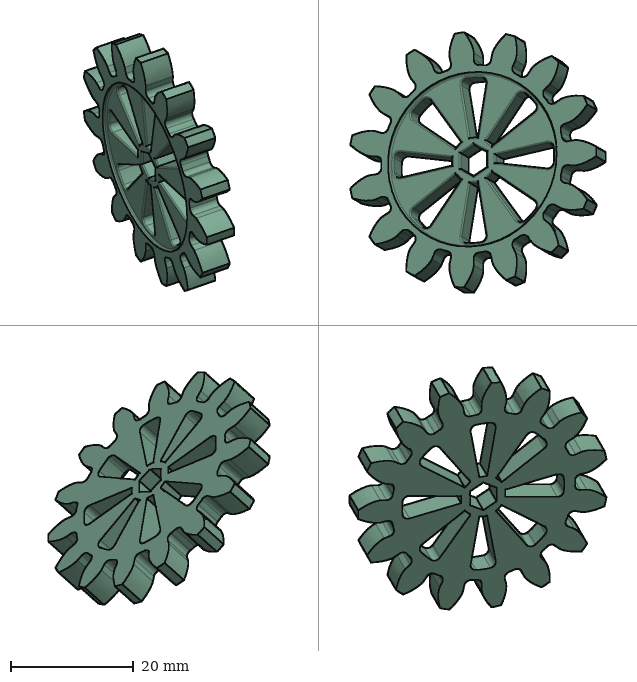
import cadquery as cq
import math

TOOTH_COUNT = 15
MODULE = 2.5
PRESSURE_ANGLE = math.radians(20)
FACE_WIDTH = 5.08

PITCH_RADIUS = MODULE * TOOTH_COUNT / 2
BASE_RADIUS = PITCH_RADIUS * math.cos(PRESSURE_ANGLE)
TIP_RADIUS = PITCH_RADIUS + MODULE
DEDENDUM = 1.25 * MODULE
ROOT_RADIUS = PITCH_RADIUS - DEDENDUM
ROOT_FILLET = 0.38 * MODULE
FLANK_STEPS = 6

BASE_HALF_ANGLE = math.pi / (2 * TOOTH_COUNT) + math.tan(PRESSURE_ANGLE) - PRESSURE_ANGLE
FILLET_CENTER_RADIUS = ROOT_RADIUS + ROOT_FILLET
FILLET_SPAN = math.asin(ROOT_FILLET / FILLET_CENTER_RADIUS)
FILLET_HALF_ANGLE = BASE_HALF_ANGLE + FILLET_SPAN
FILLET_END_RADIUS = FILLET_CENTER_RADIUS * math.cos(FILLET_SPAN)

EDGE_RADIUS = 0.254
RECESS_DIAMETER = 28.96
RECESS_DEPTH = 0.635
HEX_ACROSS_FLATS = 4.5
HEX_TURN = 30

WINDOW_COUNT = 8
WINDOW_INNER_DISTANCE = 3.76
WINDOW_RIM_GAP = 0.73
WINDOW_OUTER_RADIUS = RECESS_DIAMETER / 2 - WINDOW_RIM_GAP
WINDOW_INNER_HALF_WIDTH = 0.67
WINDOW_SIDE_ANGLE = math.radians(9.4)
WINDOW_CORNER_RADIUS = 1.0

FRONT_Y = -FACE_WIDTH / 2
WEB_Y = FRONT_Y + RECESS_DEPTH
BACK_Y = FACE_WIDTH / 2

LEVEL_TOLERANCE = 0.01


def polar(radius, angle):
    return (radius * math.cos(angle), radius * math.sin(angle))


def involute(angle):
    """Polar angle an involute has turned through at the given pressure angle."""
    return math.tan(angle) - angle


def plane_at(y):
    """Workplane facing -Y, with local x along X and local y along Z."""
    return cq.Workplane("XZ", origin=(0, y, 0))


def turned(shape, degrees):
    """Copy of a shape turned about the gear axis."""
    return shape.rotate((0, 0, 0), (0, 1, 0), degrees)


def tooth_half_angle(radius):
    """Half of the angle a tooth spans at a radius on its involute flank."""
    return BASE_HALF_ANGLE - involute(math.acos(BASE_RADIUS / radius))


def add_tooth(outline, center):
    """Continue the outline, counterclockwise, over one tooth and the root gap after it."""
    radial_step = (TIP_RADIUS - BASE_RADIUS) / FLANK_STEPS
    flank_radii = [BASE_RADIUS + radial_step * i for i in range(FLANK_STEPS + 1)]

    def fillet_middle(side):
        """Middle of the root fillet arc on one side of the tooth."""
        fillet_x, fillet_y = polar(FILLET_CENTER_RADIUS, center + side * FILLET_HALF_ANGLE)
        toward_line = center + side * (BASE_HALF_ANGLE - math.pi / 2)
        toward_root = center + side * (FILLET_HALF_ANGLE - math.pi)
        offset_x, offset_y = polar(ROOT_FILLET, (toward_line + toward_root) / 2)
        return (fillet_x + offset_x, fillet_y + offset_y)

    def flank(side):
        """Points up one involute flank, from the base circle to the tip."""
        return [polar(r, center + side * tooth_half_angle(r)) for r in flank_radii]

    rising_flank = flank(-1)
    falling_flank = flank(1)[::-1]
    half_pitch = math.pi / TOOTH_COUNT
    return (
        outline
        .threePointArc(fillet_middle(-1), polar(FILLET_END_RADIUS, center - BASE_HALF_ANGLE))
        .lineTo(*rising_flank[0])
        .spline(rising_flank[1:], includeCurrent=True)
        .threePointArc(polar(TIP_RADIUS, center), falling_flank[0])
        .spline(falling_flank[1:], includeCurrent=True)
        .lineTo(*polar(FILLET_END_RADIUS, center + BASE_HALF_ANGLE))
        .threePointArc(fillet_middle(1), polar(ROOT_RADIUS, center + FILLET_HALF_ANGLE))
        .threePointArc(
            polar(ROOT_RADIUS, center + half_pitch),
            polar(ROOT_RADIUS, center + 2 * half_pitch - FILLET_HALF_ANGLE),
        )
    )


def gear_blank():
    outline = plane_at(BACK_Y).moveTo(*polar(ROOT_RADIUS, -FILLET_HALF_ANGLE))
    for i in range(TOOTH_COUNT):
        outline = add_tooth(outline, 2 * math.pi * i / TOOTH_COUNT)
    return outline.close().extrude(FACE_WIDTH)


def recess():
    """Shallow round pocket that leaves the web below the front face."""
    return plane_at(WEB_Y).circle(RECESS_DIAMETER / 2).extrude(RECESS_DEPTH)


def hex_bore():
    """Through bore with two of its corners on the Z axis."""
    corner_diameter = HEX_ACROSS_FLATS / math.cos(math.pi / 6)
    bore = plane_at(BACK_Y).polygon(6, corner_diameter).extrude(FACE_WIDTH)
    return turned(bore, HEX_TURN)


def window():
    """Tapered opening along +X, with a rounded outer end concentric with the gear."""
    slope = math.tan(WINDOW_SIDE_ANGLE)
    far_half_width = WINDOW_INNER_HALF_WIDTH + slope * (TIP_RADIUS - WINDOW_INNER_DISTANCE)
    wedge = (
        plane_at(BACK_Y)
        .moveTo(WINDOW_INNER_DISTANCE, -WINDOW_INNER_HALF_WIDTH)
        .lineTo(TIP_RADIUS, -far_half_width)
        .lineTo(TIP_RADIUS, far_half_width)
        .lineTo(WINDOW_INNER_DISTANCE, WINDOW_INNER_HALF_WIDTH)
        .close()
        .extrude(FACE_WIDTH)
    )
    disc = plane_at(BACK_Y).circle(WINDOW_OUTER_RADIUS).extrude(FACE_WIDTH)
    opening = wedge.intersect(disc)
    outer_corners = opening.edges("|Y").edges(">Z or <Z")
    return outer_corners.fillet(WINDOW_CORNER_RADIUS)


def round_web_edges(body):
    """Round the foot of the recess wall and the mouths of the windows and bore."""
    web_level = cq.selectors.BoxSelector(
        (-RECESS_DIAMETER, WEB_Y - LEVEL_TOLERANCE, -RECESS_DIAMETER),
        (RECESS_DIAMETER, WEB_Y + LEVEL_TOLERANCE, RECESS_DIAMETER),
    )
    return body.edges(web_level).fillet(EDGE_RADIUS)


body = gear_blank().cut(recess()).cut(hex_bore())
spoke_window = window()
for i in range(WINDOW_COUNT):
    body = body.cut(turned(spoke_window, 360 / WINDOW_COUNT * i))

result = round_web_edges(body)